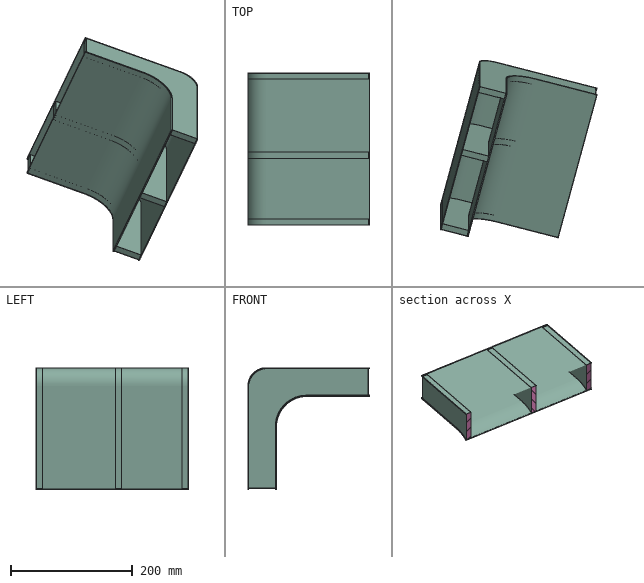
import cadquery as cq

SIZE = 200.0
LENGTH = 250.0

LEG_DEPTH = 47.0
OUTER_SKIN = 1.0
INNER_SKIN = 2.0
OUTER_RADIUS = 30.0
INNER_RADIUS = 50.0
RIB_SETBACK = 2.0

RIB_THICKNESS = 10.0
MIDDLE_RIB_START = 110.0
RIB_STARTS = [0.0, MIDDLE_RIB_START, LENGTH - RIB_THICKNESS]


def bent_strip(near, far, near_radius, far_radius, end, start_y, thickness):
    """L-shaped solid between two bent faces, extruded along +Y from start_y.

    near and far are the depths of the faces below the outer corner faces.
    end is how far both legs reach from the outer corner faces.
    """
    near_z = SIZE - near
    far_z = SIZE - far
    bottom = SIZE - end
    return (
        cq.Workplane("XZ", origin=(0, start_y, 0))
        .moveTo(near, bottom)
        .lineTo(near, near_z - near_radius)
        .radiusArc((near + near_radius, near_z), near_radius)
        .lineTo(end, near_z)
        .lineTo(end, far_z)
        .lineTo(far + far_radius, far_z)
        .radiusArc((far, far_z - far_radius), -far_radius)
        .lineTo(far, bottom)
        .close()
        .extrude(-thickness)
    )


def make_outer_skin():
    return bent_strip(
        0, OUTER_SKIN, OUTER_RADIUS, OUTER_RADIUS - OUTER_SKIN, SIZE, 0, LENGTH
    )


def make_inner_skin():
    return bent_strip(
        LEG_DEPTH - INNER_SKIN, LEG_DEPTH, INNER_RADIUS + INNER_SKIN, INNER_RADIUS, SIZE, 0, LENGTH
    )


def make_rib(start_y):
    """Flat L-shaped web between the two skins.

    Its outer corner has the full outer radius, so it clears the outer skin slightly there.
    """
    return bent_strip(
        OUTER_SKIN,
        LEG_DEPTH - INNER_SKIN,
        OUTER_RADIUS,
        INNER_RADIUS + INNER_SKIN,
        SIZE - RIB_SETBACK,
        start_y,
        RIB_THICKNESS,
    )


outer_skin = make_outer_skin()
inner_skin = make_inner_skin()
ribs = [make_rib(start_y) for start_y in RIB_STARTS]

result = cq.Compound.makeCompound(
    [outer_skin.val(), inner_skin.val(), *[rib.val() for rib in ribs]]
)